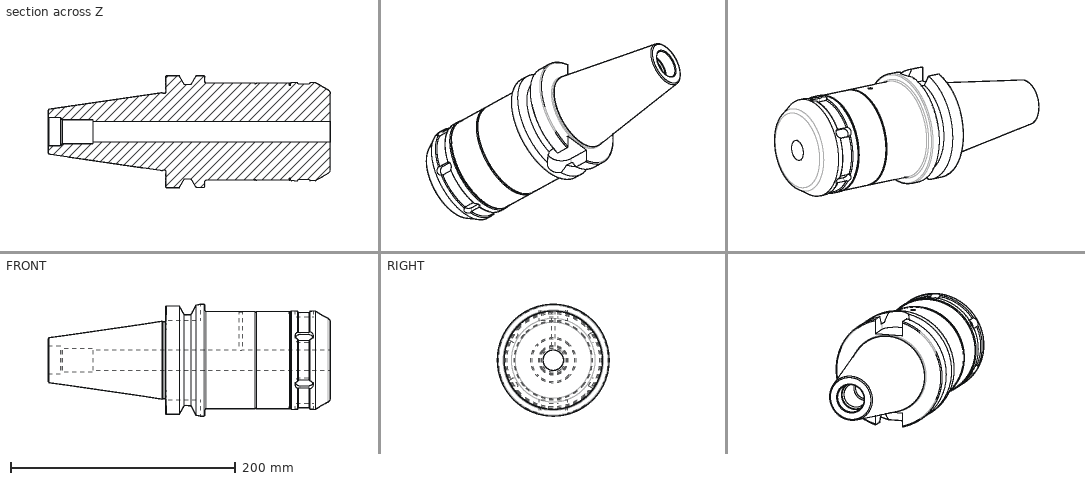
import cadquery as cq
import math


gauge_radius = 69.85 / 2
taper_length = 101.8
taper_ratio = 7 / 24
taper_tip_radius = gauge_radius - taper_length * taper_ratio / 2
taper_tip_chamfer = 1.0

neck_radius = 68.9 / 2
neck_start_x = 0.7
neck_fillet = 0.8

flange_radius = 50.0
flange_start_x = 3.0
flange_end_x = 38.0
flange_fillet = 1.0
grip_floor_radius = 42.5
grip_center_x = 22.65
grip_floor_width = 6.1
grip_wall_angle = 30.0
grip_wall_run = (flange_radius - grip_floor_radius) * math.tan(math.radians(grip_wall_angle))
grip_floor_start_x = grip_center_x - grip_floor_width / 2
grip_floor_end_x = grip_center_x + grip_floor_width / 2

drive_slot_width = 25.4
drive_slot_end_x = 34.0
drive_slot_floor = 35.4

body_radius = 87.0 / 2
body_fillet = 1.3
body_end_x = 113.4
body_groove_start_x = 82.9
body_groove_width = 1.3
body_groove_depth = 0.7

nut_gap_radius = 82.9 / 2
nut_radius = 88.0 / 2
nut_start_x = 114.3
nut_chamfer = 0.8
nut_band_start_x = 120.7
nut_band_end_x = 131.8
nut_band_radius = 42.8
nut_band_wall_angle = 30.0
nut_band_wall_run = (nut_radius - nut_band_radius) * math.tan(math.radians(nut_band_wall_angle))
nut_cone_start_x = 136.5
nut_cone_angle = 30.0
nut_end_x = 150.0
nut_end_radius = nut_radius - (nut_end_x - nut_cone_start_x) * math.tan(math.radians(nut_cone_angle))
nut_end_fillet = 4.0

spanner_slot_count = 6
spanner_slot_start_x = 118.6
spanner_slot_end_x = 134.7
spanner_slot_width = 8.3
spanner_slot_floor = 38.5

bore_mouth_radius = 26.5 / 2
pilot_radius = 25.0 / 2
pilot_depth = 11.0
thread_mouth_radius = 24.0 / 2
thread_radius = 21.3 / 2
thread_relief_length = 0.6
thread_depth = 40.0
through_radius = 18.0 / 2

side_hole_x = 70.0
side_hole_radius = 3.4 / 2
side_hole_mouth_radius = 4.0 / 2


def arc_midpoint_inset(radius):
    """Distance from either tangent line of a quarter-round to its midpoint."""
    return radius * (1 - math.sqrt(0.5))


def revolve_about_x(profile):
    return profile.close().revolve(360, (0, 0, 0), (1, 0, 0))


def make_shank_and_flange():
    neck_mid = arc_midpoint_inset(neck_fillet)
    rim_mid = arc_midpoint_inset(flange_fillet)
    profile = (
        cq.Workplane("XY")
        .moveTo(-taper_length, 0)
        .lineTo(-taper_length, taper_tip_radius - taper_tip_chamfer)
        .lineTo(
            -taper_length + taper_tip_chamfer,
            taper_tip_radius + taper_tip_chamfer * taper_ratio / 2,
        )
        .lineTo(0, gauge_radius)
        .lineTo(neck_start_x, neck_radius)
        .lineTo(flange_start_x - neck_fillet, neck_radius)
        .threePointArc(
            (flange_start_x - neck_mid, neck_radius + neck_mid),
            (flange_start_x, neck_radius + neck_fillet),
        )
        .lineTo(flange_start_x, flange_radius - flange_fillet)
        .threePointArc(
            (flange_start_x + rim_mid, flange_radius - rim_mid),
            (flange_start_x + flange_fillet, flange_radius),
        )
        .lineTo(grip_floor_start_x - grip_wall_run, flange_radius)
        .lineTo(grip_floor_start_x, grip_floor_radius)
        .lineTo(grip_floor_end_x, grip_floor_radius)
        .lineTo(grip_floor_end_x + grip_wall_run, flange_radius)
        .lineTo(flange_end_x - flange_fillet, flange_radius)
        .threePointArc(
            (flange_end_x - rim_mid, flange_radius - rim_mid),
            (flange_end_x, flange_radius - flange_fillet),
        )
        .lineTo(flange_end_x, 0)
    )
    return revolve_about_x(profile)


def make_body():
    fillet_mid = arc_midpoint_inset(body_fillet)
    groove_end_x = body_groove_start_x + body_groove_width
    groove_radius = body_radius - body_groove_depth
    profile = (
        cq.Workplane("XY")
        .moveTo(flange_end_x, 0)
        .lineTo(flange_end_x, body_radius + body_fillet)
        .threePointArc(
            (flange_end_x + fillet_mid, body_radius + fillet_mid),
            (flange_end_x + body_fillet, body_radius),
        )
        .lineTo(body_groove_start_x, body_radius)
        .lineTo(body_groove_start_x, groove_radius)
        .lineTo(groove_end_x, body_radius)
        .lineTo(body_end_x, body_radius)
        .lineTo(body_end_x, nut_gap_radius)
        .lineTo(nut_start_x, nut_gap_radius)
        .lineTo(nut_start_x, 0)
    )
    return revolve_about_x(profile)


def make_nut():
    profile = (
        cq.Workplane("XY")
        .moveTo(nut_start_x, 0)
        .lineTo(nut_start_x, nut_radius - nut_chamfer)
        .lineTo(nut_start_x + nut_chamfer, nut_radius)
        .lineTo(nut_band_start_x, nut_radius)
        .lineTo(nut_band_start_x + nut_band_wall_run, nut_band_radius)
        .lineTo(nut_band_end_x - nut_band_wall_run, nut_band_radius)
        .lineTo(nut_band_end_x, nut_radius)
        .lineTo(nut_cone_start_x, nut_radius)
        .lineTo(nut_end_x, nut_end_radius)
        .lineTo(nut_end_x, 0)
    )
    return revolve_about_x(profile).faces(">X").edges().fillet(nut_end_fillet)


def make_drive_slot():
    """Round-ended slot cutter for the top of the flange."""
    half_width = drive_slot_width / 2
    arc_start_x = drive_slot_end_x - half_width
    return (
        cq.Workplane("XY", origin=(0, 0, drive_slot_floor))
        .moveTo(0, -half_width)
        .lineTo(arc_start_x, -half_width)
        .threePointArc((drive_slot_end_x, 0), (arc_start_x, half_width))
        .lineTo(0, half_width)
        .close()
        .extrude(flange_radius - drive_slot_floor)
    )


def make_spanner_slot():
    """Stadium-shaped slot cutter for the top of the nut."""
    center_x = (spanner_slot_start_x + spanner_slot_end_x) / 2
    return (
        cq.Workplane("XY", origin=(center_x, 0, spanner_slot_floor))
        .slot2D(spanner_slot_end_x - spanner_slot_start_x, spanner_slot_width)
        .extrude(nut_radius - spanner_slot_floor)
    )


def make_bore():
    """Stepped bore cutter running the full length of the part."""
    mouth_chamfer = bore_mouth_radius - pilot_radius
    thread_chamfer = thread_mouth_radius - thread_radius
    tip_x = -taper_length
    pilot_end_x = tip_x + pilot_depth
    relief_end_x = pilot_end_x + thread_relief_length
    thread_end_x = tip_x + thread_depth
    profile = (
        cq.Workplane("XY")
        .moveTo(tip_x, 0)
        .lineTo(tip_x, bore_mouth_radius)
        .lineTo(tip_x + mouth_chamfer, pilot_radius)
        .lineTo(pilot_end_x, pilot_radius)
        .lineTo(pilot_end_x, thread_mouth_radius)
        .lineTo(relief_end_x, thread_mouth_radius)
        .lineTo(relief_end_x + thread_chamfer, thread_radius)
        .lineTo(thread_end_x, thread_radius)
        .lineTo(thread_end_x, through_radius)
        .lineTo(nut_end_x, through_radius)
        .lineTo(nut_end_x, 0)
    )
    return revolve_about_x(profile)


def make_side_hole():
    """Chamfered hole cutter, running from the top of the body down into the bore."""
    chamfer = side_hole_mouth_radius - side_hole_radius
    return (
        cq.Workplane("XZ", origin=(side_hole_x, 0, 0))
        .moveTo(0, 0)
        .lineTo(side_hole_radius, 0)
        .lineTo(side_hole_radius, body_radius - chamfer)
        .lineTo(side_hole_mouth_radius, body_radius)
        .lineTo(0, body_radius)
        .close()
        .revolve(360, (0, 0, 0), (0, 1, 0))
    )


result = make_shank_and_flange().union(make_body()).union(make_nut())

for angle in (0, 180):
    result = result.cut(make_drive_slot().rotate((0, 0, 0), (1, 0, 0), angle))

for index in range(spanner_slot_count):
    slot_angle = index * 360 / spanner_slot_count
    result = result.cut(make_spanner_slot().rotate((0, 0, 0), (1, 0, 0), slot_angle))

result = result.cut(make_bore()).cut(make_side_hole())